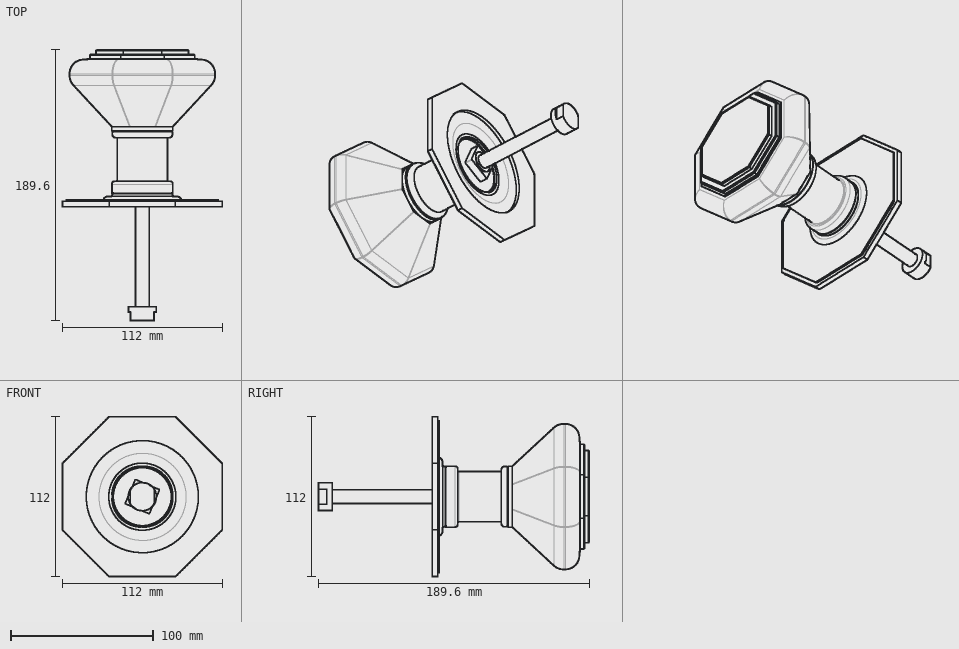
import cadquery as cq
import math


TOTAL_LENGTH = 189.6

SIDES = 8
SIDE_ANGLE = 360 / SIDES

ROSE_WIDTH = 112.0
ROSE_EDGE_HEIGHT = 4.0
STEP_INSET = 2.8
STEP_TOP = 5.1
DOME_RADIUS = 27.3
DOME_TOP_RADIUS = 23.9
DOME_TOP = 7.4
DOME_ROUND = 3.6

RECESS_RADIUS = 39.3
RECESS_DEPTH = 2.7
DISH_OUTER_RADIUS = 30.5
DISH_INNER_RADIUS = 23.5
DISH_TOP = 5.3
ROSE_BORE_RADIUS = 21.2

SPIGOT_RADIUS = 20.3
SPIGOT_BOTTOM = 6.6
SEAT_RADIUS = 21.6
SEAT_TOP_RADIUS = 20.9
FOOT_RADIUS = 21.5
FOOT_BOTTOM = 9.7
FOOT_TOP = 18.0
FOOT_FILLET = 2.0
ROOT_FILLET = 0.5
NECK_RADIUS = 17.6
BEAD_RADIUS = 21.2
BEAD_TOP_RADIUS = 20.7
BEAD_BOTTOM = 48.4
BEAD_MIDDLE = 50.8
GROOVE_RADIUS = SPIGOT_RADIUS
GROOVE_WIDTH = 0.4

KNOB_BOTTOM = 53.0
CONE_BOTTOM = 56.1
KNOB_COLLAR_RADIUS = FOOT_RADIUS
KNOB_HALF_WIDTH = 51.0
KNOB_ROUND = 10.0
RIM_BAND_BOTTOM = 92.0
RIM_BAND_TOP = 93.1
MITRE_FILLET = 1.0
MITRE_TOLERANCE = 1
BASE_TIER = (38.5, 103.7)
MIDDLE_TIER = (36.8, 106.8)
TOP_TIER = (32.5, 110.0)
TIER_CHAMFER = 0.8

BLOCK_SIDE = 18.4
BLOCK_TURN = -23
BLOCK_BOTTOM = 0.8
BLOCK_CORNER = 0.4
BOSS_RADIUS = 7.5
BOSS_HEIGHT = 0.4

BOLT_RADIUS = 5.0
BOLT_HEAD_RADIUS = 9.9
BOLT_HEAD_LENGTH = 9.9
FLAT_LENGTH = 5.9
FLAT_HALF_WIDTH = 8.3
BOLT_END = TOP_TIER[1] - TOTAL_LENGTH
BOLT_TIP = KNOB_BOTTOM


def workplane_at(y):
    """Plane across the axis at a height; positive extrusion runs towards -Y."""
    return cq.Workplane("XZ", origin=(0, y, 0))


def cylinder(radius, y_start, y_end):
    return workplane_at(y_end).circle(radius).extrude(y_end - y_start)


def octagon(half_width, y_start, y_end):
    """Octagonal prism with two of its flats square to X."""
    corner_diameter = 2 * half_width / math.cos(math.pi / SIDES)
    sketch = workplane_at(y_end).transformed(rotate=(0, 0, SIDE_ANGLE / 2)).polygon(SIDES, corner_diameter)
    return sketch.extrude(y_end - y_start)


def revolve(profile):
    """Turn an open (radius, Y) profile, closed along the axis, once round the Y axis."""
    return profile.close().revolve(360, (0, 0, 0), (0, 1, 0))


def make_rose():
    half_width = ROSE_WIDTH / 2
    plate = octagon(half_width, 0, ROSE_EDGE_HEIGHT)
    step = octagon(half_width - STEP_INSET, ROSE_EDGE_HEIGHT, STEP_TOP)
    dome = revolve(
        cq.Workplane("XY")
        .moveTo(0, ROSE_EDGE_HEIGHT)
        .lineTo(DOME_RADIUS, ROSE_EDGE_HEIGHT)
        .lineTo(DOME_RADIUS, STEP_TOP)
        .radiusArc((DOME_TOP_RADIUS, DOME_TOP), -DOME_ROUND)
        .lineTo(0, DOME_TOP)
    )
    return plate.union(step).union(dome).cut(rose_underside())


def rose_underside():
    """Recess, dish and bore; the dish arc leaves the recess floor tangentially."""
    reach = DISH_OUTER_RADIUS - DISH_INNER_RADIUS
    rise = DISH_TOP - RECESS_DEPTH
    dish_round = (reach**2 + rise**2) / (2 * rise)
    return revolve(
        cq.Workplane("XY")
        .lineTo(RECESS_RADIUS, 0)
        .lineTo(RECESS_RADIUS, RECESS_DEPTH)
        .lineTo(DISH_OUTER_RADIUS, RECESS_DEPTH)
        .radiusArc((DISH_INNER_RADIUS, DISH_TOP), dish_round)
        .lineTo(ROSE_BORE_RADIUS, DISH_TOP)
        .lineTo(ROSE_BORE_RADIUS, DOME_TOP)
        .lineTo(0, DOME_TOP)
    )


def make_neck():
    """Neck whose seat rests on the dome and whose top carries the knob."""
    bead_top = KNOB_BOTTOM - GROOVE_WIDTH
    seat_top = FOOT_BOTTOM - GROOVE_WIDTH
    neck = revolve(
        cq.Workplane("XY")
        .moveTo(0, SPIGOT_BOTTOM)
        .lineTo(SPIGOT_RADIUS, SPIGOT_BOTTOM)
        .lineTo(SPIGOT_RADIUS, DOME_TOP)
        .lineTo(SEAT_RADIUS, DOME_TOP)
        .lineTo(SEAT_TOP_RADIUS, seat_top)
        .lineTo(GROOVE_RADIUS, seat_top)
        .lineTo(GROOVE_RADIUS, FOOT_BOTTOM)
        .lineTo(FOOT_RADIUS, FOOT_BOTTOM)
        .lineTo(FOOT_RADIUS, FOOT_TOP - FOOT_FILLET)
        .radiusArc((FOOT_RADIUS - FOOT_FILLET, FOOT_TOP), -FOOT_FILLET)
        .lineTo(NECK_RADIUS + ROOT_FILLET, FOOT_TOP)
        .radiusArc((NECK_RADIUS, FOOT_TOP + ROOT_FILLET), ROOT_FILLET)
        .lineTo(NECK_RADIUS, BEAD_BOTTOM)
        .threePointArc((BEAD_RADIUS, BEAD_MIDDLE), (BEAD_TOP_RADIUS, bead_top))
        .lineTo(GROOVE_RADIUS, bead_top)
        .lineTo(GROOVE_RADIUS, KNOB_BOTTOM)
        .lineTo(0, KNOB_BOTTOM)
    )
    return neck.cut(cylinder(BOLT_RADIUS, SPIGOT_BOTTOM, BOLT_TIP))


def knob_slab():
    """Knob outline between two opposite flats, extruded along Z."""
    arc_centre = KNOB_HALF_WIDTH - KNOB_ROUND
    knob_top = RIM_BAND_TOP + KNOB_ROUND
    across = arc_centre - KNOB_COLLAR_RADIUS
    along = RIM_BAND_BOTTOM - CONE_BOTTOM
    lean = math.atan2(across, along) + math.asin(KNOB_ROUND / math.hypot(across, along))
    cone_end_radius = arc_centre + KNOB_ROUND * math.cos(lean)
    cone_end_height = RIM_BAND_BOTTOM - KNOB_ROUND * math.sin(lean)
    half = (
        cq.Workplane("XY")
        .moveTo(0, CONE_BOTTOM)
        .lineTo(KNOB_COLLAR_RADIUS, CONE_BOTTOM)
        .lineTo(cone_end_radius, cone_end_height)
        .radiusArc((KNOB_HALF_WIDTH, RIM_BAND_BOTTOM), -KNOB_ROUND)
        .lineTo(KNOB_HALF_WIDTH, RIM_BAND_TOP)
        .radiusArc((arc_centre, knob_top), -KNOB_ROUND)
        .lineTo(0, knob_top)
        .close()
        .extrude(KNOB_HALF_WIDTH, both=True)
    )
    return half.union(half.mirror("YZ"))


def is_mitre(edge):
    """True for an edge between two neighbouring sides of the octagon."""
    centre = edge.Center()
    angle = math.degrees(math.atan2(centre.z, centre.x)) % SIDE_ANGLE
    return abs(angle - SIDE_ANGLE / 2) < MITRE_TOLERANCE


def knob_head():
    """The slab crossed with itself at every side angle, with rounded mitres."""
    slab = knob_slab()
    head = slab
    for turn in range(1, SIDES // 2):
        head = head.intersect(slab.rotate((0, 0, 0), (0, 1, 0), turn * SIDE_ANGLE))
    mitres = [edge for edge in head.edges().vals() if is_mitre(edge)]
    return head.newObject(mitres).fillet(MITRE_FILLET)


def make_knob():
    """Head on its round collar, with the tiers stacked on the crown."""
    collar = cylinder(KNOB_COLLAR_RADIUS, KNOB_BOTTOM, CONE_BOTTOM)
    base_half_width, base_top = BASE_TIER
    tiers = octagon(base_half_width, RIM_BAND_TOP, base_top)
    tier_bottom = base_top
    for half_width, tier_top in (MIDDLE_TIER, TOP_TIER):
        tier = octagon(half_width, tier_bottom, tier_top)
        tiers = tiers.union(tier.faces(">Y").chamfer(TIER_CHAMFER))
        tier_bottom = tier_top
    return knob_head().union(collar).union(tiers)


def make_block():
    block = (
        workplane_at(SPIGOT_BOTTOM)
        .transformed(rotate=(0, 0, BLOCK_TURN))
        .rect(BLOCK_SIDE, BLOCK_SIDE)
        .extrude(SPIGOT_BOTTOM - BLOCK_BOTTOM)
        .edges("|Y")
        .fillet(BLOCK_CORNER)
    )
    boss_bottom = BLOCK_BOTTOM - BOSS_HEIGHT
    boss = cylinder(BOSS_RADIUS, boss_bottom, BLOCK_BOTTOM)
    return block.union(boss).cut(cylinder(BOLT_RADIUS, boss_bottom, SPIGOT_BOTTOM))


def make_bolt():
    flat_end = BOLT_END + FLAT_LENGTH
    head_top = BOLT_END + BOLT_HEAD_LENGTH
    between_flats = (
        workplane_at(flat_end).rect(2 * FLAT_HALF_WIDTH, 2 * BOLT_HEAD_RADIUS).extrude(FLAT_LENGTH)
    )
    flatted_part = cylinder(BOLT_HEAD_RADIUS, BOLT_END, flat_end).intersect(between_flats)
    round_part = cylinder(BOLT_HEAD_RADIUS, flat_end, head_top)
    shank = cylinder(BOLT_RADIUS, head_top, BOLT_TIP)
    return flatted_part.union(round_part).union(shank)


rose = make_rose().solids()
neck = make_neck().solids()
knob = make_knob().solids()
drive_block = make_block().solids()
bolt = make_bolt().solids()

result = cq.Compound.makeCompound(
    [rose.val(), neck.val(), knob.val(), drive_block.val(), bolt.val()]
)